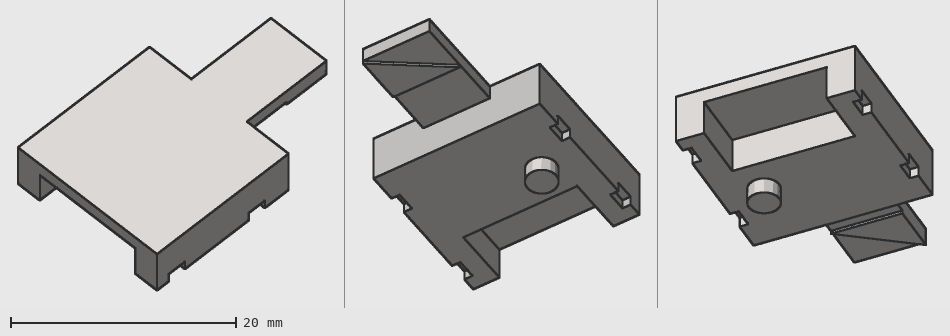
import cadquery as cq

body_width = 17.5
body_length = 16.5
body_height = 5.0

total_length = 26.5
tongue_length = total_length - body_length
tongue_width = 7.0
plate_thickness = 1.5
plate_underside = body_height - plate_thickness

pad_length = 5.0
pad_height = 0.32

channel_width = 11.98
channel_depth = 6.0

pin_diameter = 3.0
pin_length = 1.6
pin_x = -channel_width / 2 + pin_diameter / 2
pin_y = 9.5

notch_length = 2.01
notch_height = 1.0
notch_depth = 0.85
notch_centers_y = (2.5, 12.5)


def block(width, length, height, x, y, z):
    """Box centred on x, starting at y and z."""
    return cq.Workplane("XY").box(width, length, height, centered=(True, False, False)).translate((x, y, z))


def tongue_pad():
    """Right-triangular pad whose long side crosses the tongue diagonally."""
    half_width = tongue_width / 2
    base_y = total_length - pad_length
    return (
        cq.Workplane("XY", origin=(0, 0, plate_underside))
        .moveTo(-half_width, base_y)
        .lineTo(half_width, base_y)
        .lineTo(half_width, total_length)
        .close()
        .extrude(-pad_height)
    )


def pin():
    return cq.Workplane("XY").center(pin_x, pin_y).circle(pin_diameter / 2).extrude(-pin_length)


body = block(body_width, body_length, body_height, 0, 0, 0)
channel = block(channel_width, channel_depth, plate_underside, 0, 0, 0)
tongue = block(tongue_width, tongue_length, plate_thickness, 0, body_length, plate_underside)

result = body.cut(channel).union(tongue).union(tongue_pad()).union(pin())

for side in (-1, 1):
    notch_x = side * (body_width - notch_depth) / 2
    for center_y in notch_centers_y:
        notch_start = center_y - notch_length / 2
        result = result.cut(block(notch_depth, notch_length, notch_height, notch_x, notch_start, 0))